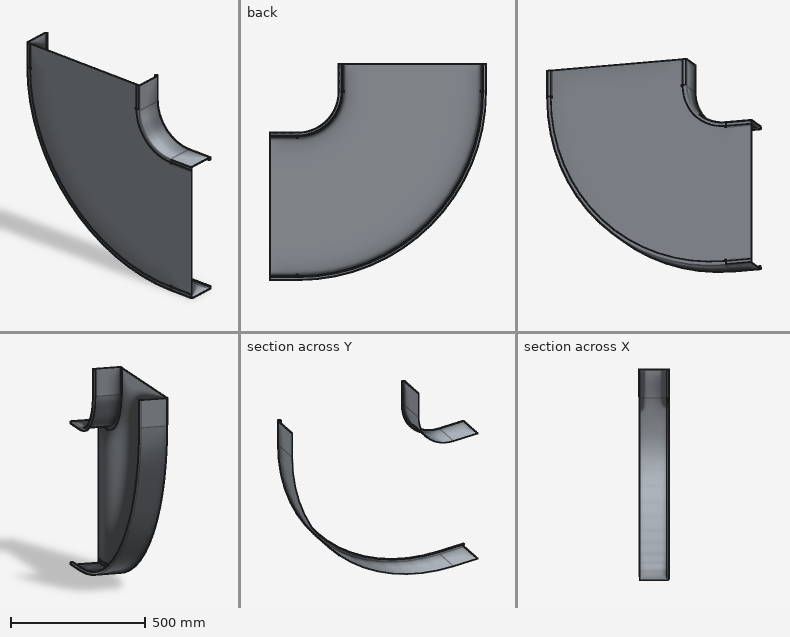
import cadquery as cq
import math

size = 805.0
tray_width = 550.0
leg_length = 105.0
depth = 112.0

sheet = 1.5

flange_width = 15.0
flange_bend_radius = 2.25
lip_width = 12.0
lip_depth = 9.0

strip_margin = 3.0
joggle_width = 5.0
relief_length = 5.0

bend_centre = size - leg_length
wall_height = depth - sheet
joggle_length = leg_length - relief_length


def around_bend(shape, angle):
    """Turn a shape about the bend axis, from the upright leg towards the level leg."""
    start = (bend_centre, 0, bend_centre)
    end = (bend_centre, 1, bend_centre)
    return shape.rotate(start, end, -angle)


def both_legs(upright_leg):
    """Return the upright leg and its mirror image, which is the level leg."""
    turned = upright_leg.mirror("XY", (0, 0, bend_centre))
    return upright_leg, around_bend(turned, 90)


def curve_between_legs(profile):
    """Revolve a profile that stands at the lower end of the upright leg."""
    return profile.revolve(90, (bend_centre, 8, 0), (bend_centre, 0, 0))


def leg_end_plane():
    return cq.Workplane("XY", origin=(0, 0, bend_centre))


def points_inward_from(face_x, inward):
    """Return a function that places section points by their distance inward from an outer face."""

    def at(across, y):
        return (face_x + inward * across, y)

    return at


def wall_profile(face_x, inward):
    """Section of a side wall. Its outer face is at face_x and inward is the X sign into the tray."""
    at = points_inward_from(face_x, inward)

    diagonal = math.sqrt(0.5)
    inner_bend_radius = flange_bend_radius - sheet
    bend_middle = flange_bend_radius * (1 - diagonal)
    inner_bend_middle = flange_bend_radius - inner_bend_radius * diagonal
    lip_radius = lip_width / 2
    lip_start = wall_height - lip_radius
    lip_end = wall_height - lip_depth
    return (
        leg_end_plane()
        .moveTo(*at(flange_width, 0))
        .lineTo(*at(flange_bend_radius, 0))
        .threePointArc(at(bend_middle, bend_middle), at(0, flange_bend_radius))
        .lineTo(*at(0, lip_start))
        .threePointArc(at(lip_radius, wall_height), at(lip_width, lip_start))
        .lineTo(*at(lip_width, lip_end))
        .lineTo(*at(lip_width - sheet, lip_end))
        .lineTo(*at(lip_width - sheet, lip_start))
        .threePointArc(at(lip_radius, wall_height - sheet), at(sheet, lip_start))
        .lineTo(*at(sheet, flange_bend_radius))
        .threePointArc(at(inner_bend_middle, inner_bend_middle), at(flange_bend_radius, sheet))
        .lineTo(*at(flange_width, sheet))
        .close()
    )


def side_wall(face_x, inward):
    wall = curve_between_legs(wall_profile(face_x, inward))
    for leg in both_legs(wall_profile(face_x, inward).extrude(leg_length)):
        wall = wall.union(leg)
    return wall


def joggled_strip(face_x, inward):
    """Strip in front of a wall flange, stepping back to the plate through two equal arcs."""
    at = points_inward_from(face_x, inward)

    step_angle = 2 * math.atan(sheet / joggle_width)
    step_radius = joggle_width / (2 * math.sin(step_angle))
    arc_middle_across = step_radius * math.sin(step_angle / 2)
    arc_middle_rise = step_radius * (1 - math.cos(step_angle / 2))
    step_start = flange_width
    step_middle = flange_width + joggle_width / 2
    step_end = flange_width + joggle_width

    def first_arc_middle(y):
        return at(step_start + arc_middle_across, y + arc_middle_rise)

    def second_arc_middle(y):
        return at(step_end - arc_middle_across, y + sheet - arc_middle_rise)

    return (
        cq.Workplane("XY", origin=(0, 0, size - joggle_length))
        .moveTo(*at(strip_margin, -sheet))
        .lineTo(*at(step_start, -sheet))
        .threePointArc(first_arc_middle(-sheet), at(step_middle, -sheet / 2))
        .threePointArc(second_arc_middle(-sheet), at(step_end, 0))
        .lineTo(*at(step_end, sheet))
        .threePointArc(second_arc_middle(0), at(step_middle, sheet / 2))
        .threePointArc(first_arc_middle(0), at(step_start, 0))
        .lineTo(*at(strip_margin, 0))
        .close()
        .extrude(joggle_length)
    )


def plate_strip(margin):
    """Section of the flat plate, set in from both outer faces of the tray by the margin."""
    width = tray_width - 2 * margin
    return leg_end_plane().moveTo(margin, 0).rect(width, sheet, centered=False)


def plate_leg():
    leg = plate_strip(flange_width + joggle_width).extrude(leg_length)
    leg = leg.union(joggled_strip(0, 1))
    return leg.union(joggled_strip(tray_width, -1))


def base_plate():
    plate = curve_between_legs(plate_strip(flange_width))
    for leg in both_legs(plate_leg()):
        plate = plate.union(leg)
    return plate


plate = base_plate()
outer_wall = side_wall(0, 1)
inner_wall = side_wall(tray_width, -1)

result = cq.Compound.makeCompound([plate.val(), outer_wall.val(), inner_wall.val()])